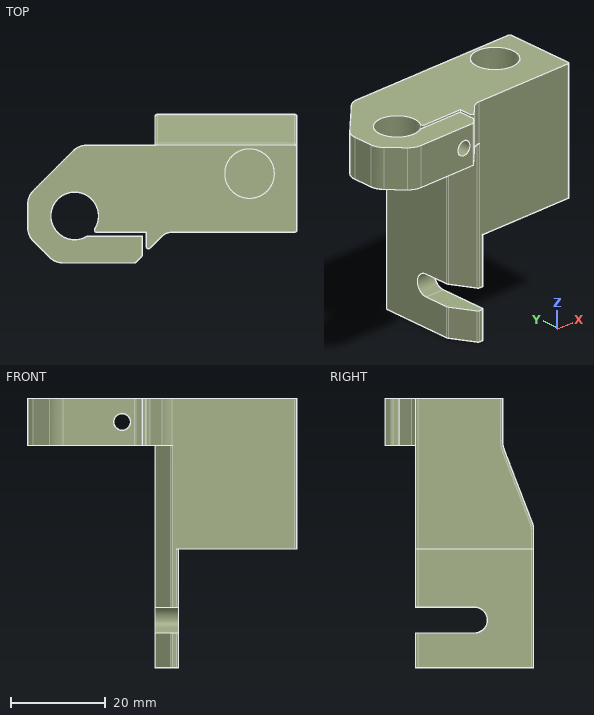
import cadquery as cq
import math

length = 57.0
depth = 31.5
height = 57.0
edge_radius = 0.5

clamp_height = 10.0
bore_radius = 5.0
bore_x = bore_y = 10.0
clamp_corner_radius = 4.0
body_back = 24.95
body_front = 6.5
slit_width = 0.8
finger_end = 24.3
finger_chamfer = 1.5
tooth_left = finger_end + slit_width
tooth_root = 29.3
tooth_root_radius = 3.0
screw_x = 20.0
screw_diameter = 3.5

plate_left = 26.95
plate_thickness = 5.0
plate_right = plate_left + plate_thickness
block_height = 31.9
slope_bottom = 27.0
slope_top_radius = 6.0
slope_bottom_radius = 3.0
bevel_start = 12.5
bevel_angle = 30.0
bevel_run = (bevel_start - body_front) * math.tan(math.radians(bevel_angle))
bevel_radius = 1.0
block_left = plate_left + bevel_run + edge_radius
slot_width = 5.4
slot_center_y = 19.0
slot_center_z = -46.9

socket_x = 46.95
socket_y = 18.9
socket_diameter = 10.5
socket_floor = 5.0


def round_upright_edges(solid, x, y, radius):
    """Fillet the vertical edge standing at (x, y)."""
    reach = 0.03
    box = cq.selectors.BoxSelector(
        (x - reach, y - reach, -height), (x + reach, y + reach, height)
    )
    return solid.edges("|Z").edges(box).fillet(radius)


def make_clamp():
    slant_offset = bore_x * math.sqrt(2)
    front_cut = bore_x + bore_y - slant_offset
    back_cut = body_back - slant_offset
    finger_back = body_front - slit_width
    tooth_tip = body_front - (tooth_root - tooth_left)
    back_left = (back_cut, body_back)
    left_back = (0, slant_offset)
    left_front = (0, front_cut)
    front_left = (front_cut, 0)
    finger_tip = (finger_end - finger_chamfer, 0)
    finger_side = (finger_end, finger_chamfer)
    outline = [
        back_left,
        left_back,
        left_front,
        front_left,
        finger_tip,
        finger_side,
        (finger_end, finger_back),
        (bore_x, finger_back),
        (bore_x, body_front),
        (tooth_left, body_front),
        (tooth_left, tooth_tip),
        (tooth_root, body_front),
        (block_left, body_front),
        (block_left, body_back),
    ]
    clamp = cq.Workplane("XY").polyline(outline).close().extrude(-clamp_height)
    for x, y in (back_left, left_back, left_front, front_left):
        clamp = round_upright_edges(clamp, x, y, clamp_corner_radius)
    for x, y in (finger_tip, finger_side, (tooth_left, tooth_tip)):
        clamp = round_upright_edges(clamp, x, y, edge_radius)
    clamp = round_upright_edges(clamp, tooth_root, body_front, tooth_root_radius)
    bore = cq.Workplane("XY").center(bore_x, bore_y).circle(bore_radius).extrude(-clamp_height)
    clamp = clamp.cut(bore)
    lip_x = bore_x + math.sqrt(bore_radius**2 - (bore_y - body_front) ** 2)
    clamp = round_upright_edges(clamp, lip_x, body_front, edge_radius)
    return clamp


def make_side_profile(right, top_z):
    """Sloped-back shape from the plate's left face to X = right, with its top at top_z."""
    profile = [
        (body_front, top_z),
        (body_back, top_z),
        (body_back, -clamp_height),
        (depth, -slope_bottom),
        (depth, -height),
        (body_front, -height),
    ]
    side = (
        cq.Workplane("YZ", origin=(plate_left, 0, 0))
        .polyline(profile)
        .close()
        .extrude(right - plate_left)
    )
    middle = (plate_left + right) / 2
    bends = (
        (body_back, -clamp_height, slope_top_radius),
        (depth, -slope_bottom, slope_bottom_radius),
    )
    for y, z, radius in bends:
        bend = cq.selectors.NearestToPointSelector((middle, y, z))
        side = side.edges("|X").edges(bend).fillet(radius)
    return side


def round_back(solid, side):
    """Round the back edges, sloped and upright, on the chosen X side."""
    back = cq.selectors.BoxSelector(
        (0, body_back + 0.55, -height + 0.55), (2 * length, 2 * depth, -clamp_height - 0.55)
    )
    return solid.faces(side).edges(back).fillet(edge_radius)


def make_plate():
    plate = make_side_profile(plate_right, -clamp_height / 2)
    for side in ("<X", ">X"):
        plate = round_back(plate, side)
    bevel = (
        cq.Workplane("XY")
        .polyline([
            (plate_left, body_front),
            (plate_left + bevel_run, body_front),
            (plate_left, bevel_start),
        ])
        .close()
        .extrude(-height)
    )
    plate = plate.cut(bevel)
    plate = round_upright_edges(plate, plate_left, bevel_start, bevel_radius)
    for x in (plate_left + bevel_run, plate_right):
        plate = round_upright_edges(plate, x, body_front, edge_radius)
    return plate


def make_block():
    block = round_back(make_side_profile(length, 0), ">X")
    block = round_upright_edges(block, length, body_front, edge_radius)
    keep = (
        cq.Workplane("XY")
        .box(length - block_left, depth, block_height, centered=False)
        .translate((block_left, 0, -block_height))
    )
    return block.intersect(keep)


def make_slot():
    slot_end = cq.Workplane("YZ").center(slot_center_y, slot_center_z).circle(slot_width / 2)
    slot_run = (
        cq.Workplane("YZ")
        .center(slot_center_y / 2, slot_center_z)
        .rect(slot_center_y, slot_width)
    )
    return slot_end.extrude(length).union(slot_run.extrude(length))


screw_hole = (
    cq.Workplane("XZ")
    .center(screw_x, -clamp_height / 2)
    .circle(screw_diameter / 2)
    .extrude(-depth)
)
socket = (
    cq.Workplane("XY")
    .center(socket_x, socket_y)
    .circle(socket_diameter / 2)
    .extrude(socket_floor - block_height)
)

result = make_clamp().union(make_plate()).union(make_block())
result = result.cut(make_slot()).cut(screw_hole).cut(socket)